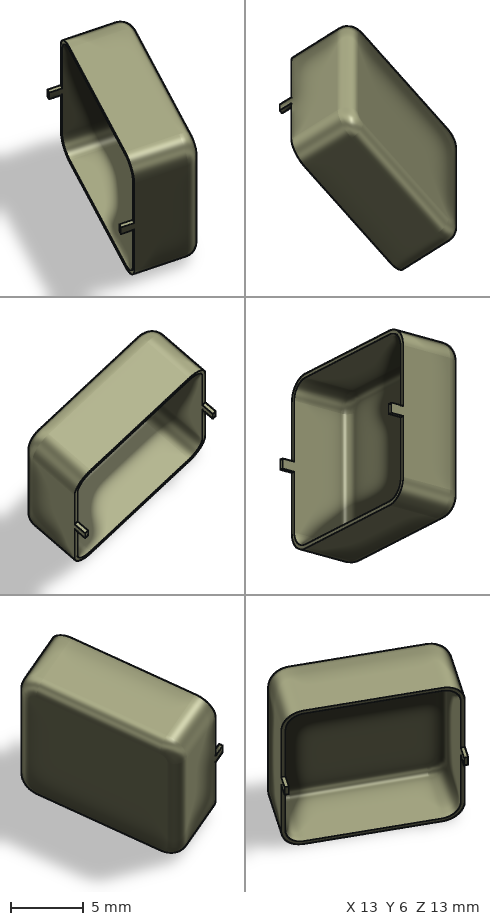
import cadquery as cq

side = 13.0
total_depth = 6.0
tab_length = 1.0
tab_width = 0.75
wall = 0.3
corner_radius = 1.6
back_edge_radius = 1.0

shell_depth = total_depth - tab_length


def rounded_block(width, depth, corner, back_fillet):
    """Square block from the rim plane (Y = 0) towards +Y, rounded at the back."""
    block = cq.Workplane("XZ").rect(width, width).extrude(-depth)
    return block.edges("|Y").fillet(corner).faces(">Y").edges().fillet(back_fillet)


def tab(direction):
    """Tab flush with the outer side wall, standing forward of the rim."""
    center_x = direction * (side - wall) / 2
    return cq.Workplane("XZ").center(center_x, 0).rect(wall, tab_width).extrude(tab_length)


outer = rounded_block(side, shell_depth, corner_radius, back_edge_radius)
cavity = rounded_block(
    side - 2 * wall,
    shell_depth - wall,
    corner_radius - wall,
    back_edge_radius - wall,
)

result = outer.cut(cavity)
for direction in (-1, 1):
    result = result.union(tab(direction))